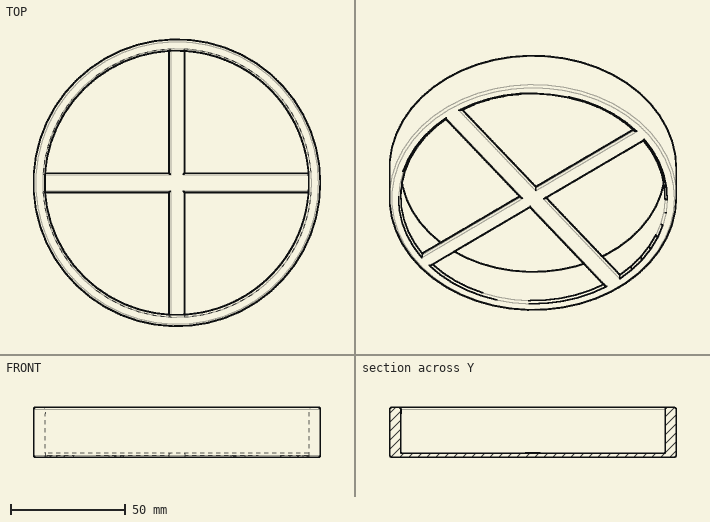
import cadquery as cq

outer_diameter = 125.5
inner_diameter = 115.5
ring_height = 22.0
edge_radius = 1.0

bar_width_along_x = 8.5
bar_width_along_y = 7.0
bar_thickness = 2.0
bar_edge_radius = 0.8


def make_ring():
    """Plain ring with all four circular edges rounded."""
    ring = cq.Workplane("XY").circle(outer_diameter / 2).circle(inner_diameter / 2).extrude(ring_height)
    return ring.faces("|Z").edges().fillet(edge_radius)


def make_cross():
    """Two crossed bars with rounded upper and lower edges, ending inside the ring wall."""
    bar_length = (outer_diameter + inner_diameter) / 2
    centered = (True, True, False)
    bar_x = cq.Workplane("XY").box(bar_length, bar_width_along_x, bar_thickness, centered=centered)
    bar_y = cq.Workplane("XY").box(bar_width_along_y, bar_length, bar_thickness, centered=centered)
    return bar_x.union(bar_y).faces("|Z").edges().fillet(bar_edge_radius)


result = make_ring().union(make_cross())